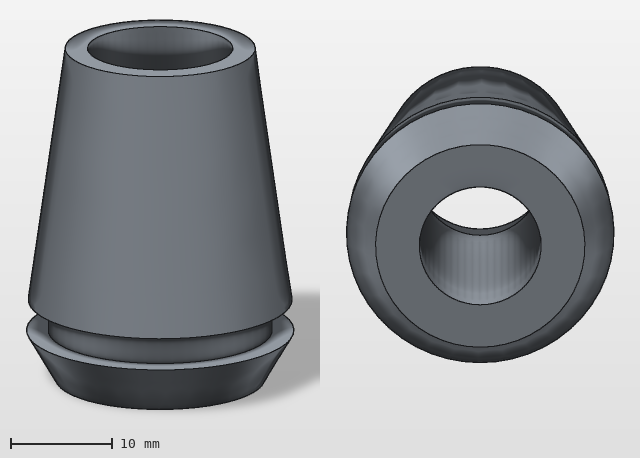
import cadquery as cq
import math

total_height = 34.0
flange_height = 4.95
groove_height = 3.15
groove_top = flange_height + groove_height

flange_radius = 13.15
groove_radius = 11.0
top_radius = 9.35
flange_angle = math.radians(30.0)
taper_angle = math.radians(8.0)
base_radius = flange_radius - flange_height * math.tan(flange_angle)
taper_base_radius = top_radius + (total_height - groove_top) * math.tan(taper_angle)

bore_radius = 6.0
counterbore_radius = 7.15
counterbore_depth = 6.9
counterbore_floor = total_height - counterbore_depth

half_section = [
    (bore_radius, 0),
    (base_radius, 0),
    (flange_radius, flange_height),
    (groove_radius, flange_height),
    (groove_radius, groove_top),
    (taper_base_radius, groove_top),
    (top_radius, total_height),
    (counterbore_radius, total_height),
    (counterbore_radius, counterbore_floor),
    (bore_radius, counterbore_floor),
]

result = cq.Workplane("XZ").polyline(half_section).close().revolve(360, (0, 0, 0), (0, 1, 0))